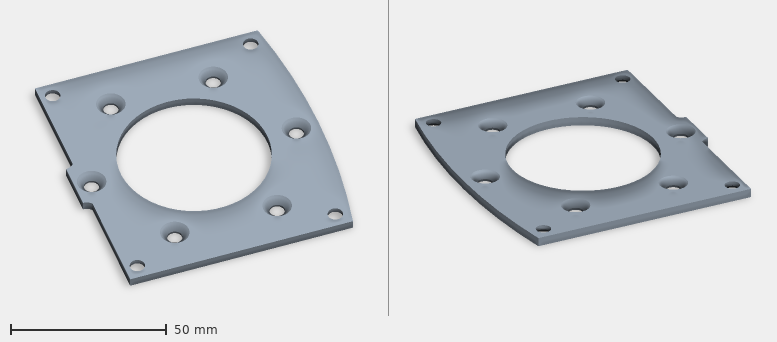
import cadquery as cq
import math

width = 90.1
depth = 83.4
thickness = 3.0
half_side_height = 38.0
tab_height = 2.8
tab_tip_width = 16.0
tab_flank_radius = 3.6

bore_diameter = 50.0
hole_diameter = 5.0
corner_hole_x = 40.1
corner_hole_y = 33.8
screw_circle_radius = 35.0
screw_count = 6
countersink_diameter = 9.5
corner_countersink_diameter = 7.75
countersink_angle = 90.0

front_y = -half_side_height
tip_y = front_y - tab_height
crown_y = tip_y + depth
half_width = width / 2
half_tip = tab_tip_width / 2


def flank_offset(height):
    """Sideways spread of a tab flank at a height above the tab tip."""
    return tab_flank_radius - math.sqrt(tab_flank_radius**2 - height**2)


def make_plate():
    """Plate with a bowed rear edge and a flared tab on the front edge."""
    half_root = half_tip + flank_offset(tab_height)
    half_middle = half_tip + flank_offset(tab_height / 2)
    middle_y = tip_y + tab_height / 2
    return (
        cq.Workplane("XY")
        .moveTo(-half_width, front_y)
        .lineTo(-half_root, front_y)
        .threePointArc((-half_middle, middle_y), (-half_tip, tip_y))
        .lineTo(half_tip, tip_y)
        .threePointArc((half_middle, middle_y), (half_root, front_y))
        .lineTo(half_width, front_y)
        .lineTo(half_width, half_side_height)
        .threePointArc((0, crown_y), (-half_width, half_side_height))
        .close()
        .extrude(thickness)
    )


def cut_openings(plate):
    """Central bore, corner holes countersunk below and a ring of screw holes countersunk above."""
    top = plate.faces(">Z").workplane(origin=(0, 0, thickness))
    plate = top.hole(bore_diameter)

    underside = plate.faces("<Z").workplane(origin=(0, 0, 0))
    corners = underside.rect(2 * corner_hole_x, 2 * corner_hole_y, forConstruction=True).vertices()
    plate = corners.cskHole(hole_diameter, corner_countersink_diameter, countersink_angle)

    top = plate.faces(">Z").workplane(origin=(0, 0, thickness))
    screws = top.polarArray(screw_circle_radius, startAngle=90, angle=360, count=screw_count)
    return screws.cskHole(hole_diameter, countersink_diameter, countersink_angle)


result = cut_openings(make_plate())